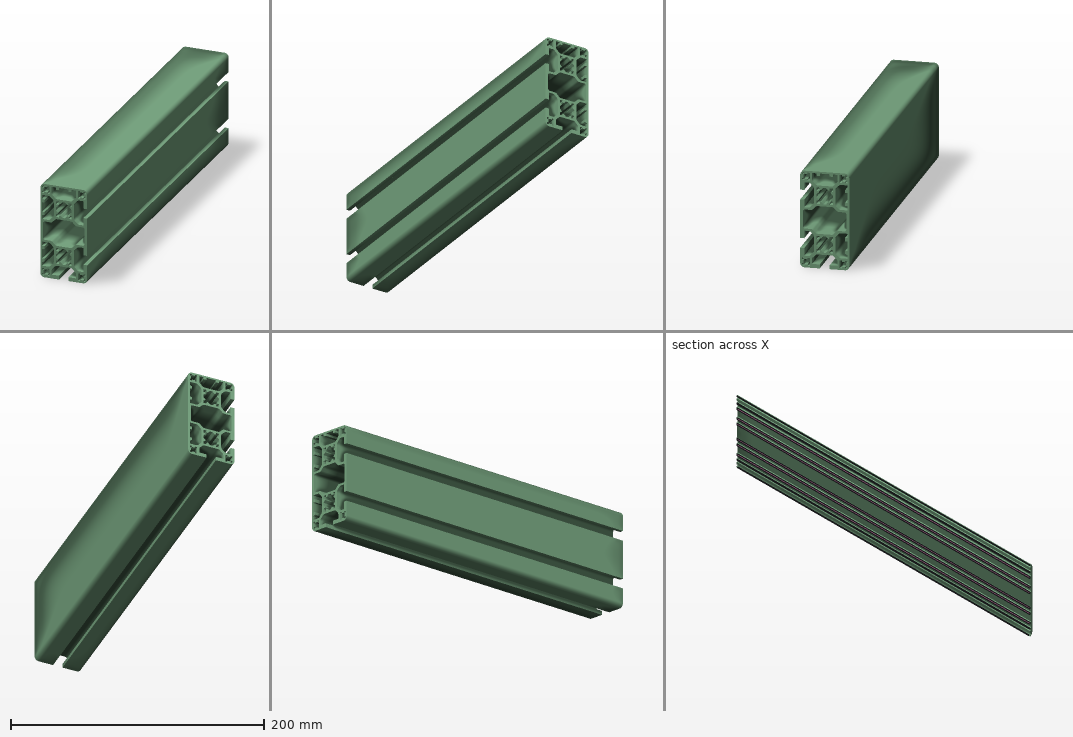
import cadquery as cq

length = 300.0
width = 40.0
height = 80.0
corner_radius = 3.5

web = 1.8
skin = 1.5
lip = 3.3
middle_wall = 2.5

slot_opening = 8.0
slot_width = 20.7
core_width = 17.0
bend_offset = 1.8
bend_radius = 2.7
middle_corner_radius = 1.5

rib_width = 2.7
rib_height = 1.95
rib_taper = 1.0
corner_rib_height = 1.05
corner_cell_bevel = 0.5
tooth_height = 2.0
tooth_tip_inset = 1.0
tooth_tip_radius = 0.45

half_width = width / 2
core_height = height / 4
core_half = core_width / 2
bore_half = core_half - web
slot_half = slot_width / 2
opening_half = slot_opening / 2
corner_inner = slot_half + web
bend_start = core_half - bend_offset
bend_end = slot_half + bend_offset

RIGHT = (1, 0)
LEFT = (-1, 0)
OUTER = (0, 1)
INNER = (0, -1)
UPPER = 1
LOWER = -1
NO_TAPER = 0
OVERLAP = 0.3


def prism(points):
    """Full-length bar with the given XZ outline."""
    return cq.Workplane("XZ").polyline(points).close().extrude(length / 2, both=True)


def round_edges(bar, points, radius):
    """Round the lengthwise edges of a bar that pass nearest to the given XZ points."""
    for x, z in points:
        bar = bar.edges(cq.NearestToPointSelector((x, 0, z))).fillet(radius)
    return bar


def on_side(points, cell, side):
    """Turn (outward, across) points about a core centre into XZ points.

    For the left and right sides, positive across points away from the middle of the profile.
    """
    out_x, out_z = side
    placed = []
    for outward, across in points:
        x = outward * out_x + across * abs(out_z)
        z = outward * out_z + across * abs(out_x)
        placed.append((x, cell * (core_height + z)))
    return placed


def block(near, far, low, high):
    """Rectangle in (outward, across) points."""
    return [(near, low), (far, low), (far, high), (near, high)]


def slot_chamber(cell, side, wall_face):
    """Slot space from the core's face out to the outer wall, with 45 degree shoulders."""
    half = [(core_half, bend_start), (bend_end, slot_half), (wall_face, slot_half)]
    mirrored = [(outward, -across) for outward, across in reversed(half)]
    bends = half[:2] + mirrored[1:]
    chamber = prism(on_side(half + mirrored, cell, side))
    return round_edges(chamber, on_side(bends, cell, side), bend_radius)


def open_slot(cell, side, reach):
    """Slot chamber with a gap through the outer wall."""
    gap = block(reach - lip - OVERLAP, reach + OVERLAP, -opening_half, opening_half)
    return slot_chamber(cell, side, reach - lip).union(prism(on_side(gap, cell, side)))


def closed_slot(cell, side, reach, taper):
    """Slot chamber behind a closed wall that carries two ribs."""
    wall_face = reach - skin
    chamber = slot_chamber(cell, side, wall_face)
    rib_top = wall_face - rib_height
    rib_end = opening_half + rib_width
    outer_rib = [
        (wall_face + OVERLAP, opening_half),
        (rib_top, opening_half),
        (rib_top, rib_end - taper / 2),
        (wall_face - taper / 2, rib_end + taper / 2),
        (wall_face + OVERLAP, rib_end + taper / 2),
    ]
    inner_rib = block(rib_top, wall_face + OVERLAP, -rib_end, -opening_half)
    for rib in (outer_rib, inner_rib):
        chamber = chamber.cut(prism(on_side(rib, cell, side)))
    return chamber


def core_bore(cell):
    """Square bore with two sloping teeth on each wall."""
    tip_across = opening_half - tooth_tip_inset
    sharp_tooth = [
        (bore_half + OVERLAP, opening_half),
        (bore_half - tooth_height + tooth_tip_inset, opening_half),
        (bore_half - tooth_height, tip_across),
        (bore_half + OVERLAP, tip_across - tooth_height - OVERLAP),
    ]
    bore = prism(on_side(block(-bore_half, bore_half, -bore_half, bore_half), cell, OUTER))
    for side in (RIGHT, LEFT, OUTER, INNER):
        for hand in (1, -1):
            outline = on_side([(out, hand * across) for out, across in sharp_tooth], cell, side)
            bore = bore.cut(round_edges(prism(outline), [outline[2]], tooth_tip_radius))
    return bore


def corner_cell(cell, hand):
    """Small chamber in a profile corner, with ribs on its two outer walls and its floor."""
    far_z = core_height - skin
    far_x = half_width - skin
    outline = [
        (corner_inner, corner_inner),
        (far_z, corner_inner),
        (far_z, far_x - corner_cell_bevel),
        (far_z - corner_cell_bevel, far_x),
        (corner_inner, far_x),
    ]
    low = (corner_inner + far_x - rib_width) / 2
    high = low + rib_width
    ribs = [
        block(far_z - corner_rib_height, far_z + OVERLAP, low, high),
        block(corner_inner - OVERLAP, corner_inner + corner_rib_height, low, high),
        block(low, high, far_x - corner_rib_height, far_x + OVERLAP),
    ]

    def handed(points):
        return prism(on_side([(out, hand * across) for out, across in points], cell, OUTER))

    chamber = handed(outline)
    for rib in ribs:
        chamber = chamber.cut(handed(rib))
    return chamber


def middle_chamber():
    """Large chamber between the two cores, stepped out by 45 degree webs."""
    wall_x = half_width - middle_wall
    side_z = core_height - corner_inner
    core_z = core_height - core_half
    core_x = slot_half - (core_z - side_z)

    def four_fold(x, z):
        return [(x, z), (-x, z), (-x, -z), (x, -z)]

    corners = four_fold(wall_x, side_z)
    shoulders = four_fold(slot_half, side_z)
    core_ends = four_fold(core_x, core_z)
    outline = []
    for quarter in range(4):
        run = [corners[quarter], shoulders[quarter], core_ends[quarter]]
        outline += run if quarter % 2 == 0 else reversed(run)
    chamber = round_edges(prism(outline), shoulders + core_ends, bend_radius)
    return round_edges(chamber, corners, middle_corner_radius)


result = (
    cq.Workplane("XZ")
    .rect(width, height)
    .extrude(length / 2, both=True)
    .edges("|Y")
    .fillet(corner_radius)
)
result = result.cut(middle_chamber())
for cell in (UPPER, LOWER):
    result = result.cut(core_bore(cell))
    result = result.cut(open_slot(cell, RIGHT, half_width))
    result = result.cut(closed_slot(cell, LEFT, half_width, rib_taper))
    for hand in (1, -1):
        result = result.cut(corner_cell(cell, hand))
result = result.cut(closed_slot(UPPER, OUTER, core_height, NO_TAPER))
result = result.cut(open_slot(LOWER, OUTER, core_height))